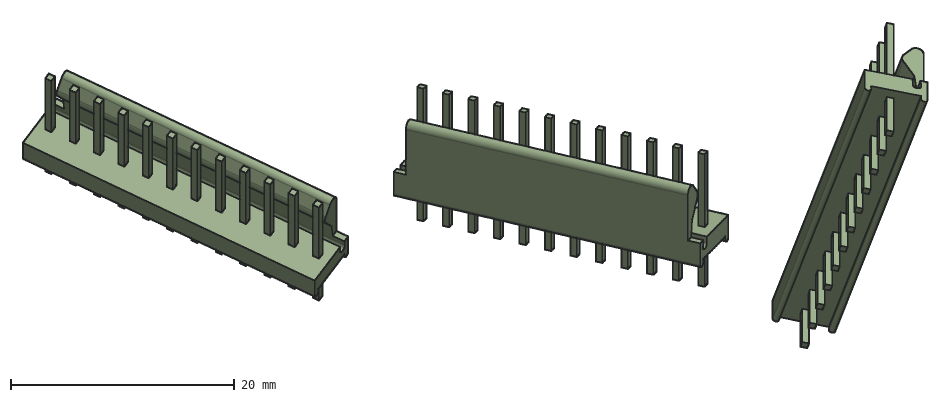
import cadquery as cq
import math


PIN_COUNT = 12
LENGTH = 30.48
PITCH = LENGTH / PIN_COUNT
PIN_SIZE = 0.65
PIN_LENGTH = 13.6
PIN_Y = -3.2

DEPTH = 5.85
BASE_TOP = 6.13
BASE_BOTTOM = 4.2
FOOT_BOTTOM = 3.57
FOOT_WIDTH = 0.6
FOOT_RADIUS = FOOT_WIDTH / 2

SLOT_BACK_Y = -0.58
SLOT_FRONT_Y = -1.4
SLOT_RADIUS = (SLOT_BACK_Y - SLOT_FRONT_Y) / 2
SLOT_BOTTOM = 5.1
SLOT_ARC_Z = SLOT_BOTTOM + SLOT_RADIUS

LATCH_END_GAP = 1.22
LATCH_TOP = 11.43
TIP_RADIUS = 0.65
TIP_Y = -TIP_RADIUS
TIP_Z = LATCH_TOP - TIP_RADIUS
NOSE_FRONT_Y = -2.05
NOSE_RADIUS = 0.67
NOSE_Y = NOSE_FRONT_Y + NOSE_RADIUS
NOSE_Z = 9.8
KNEE_Y = -0.88
KNEE_Z = 7.8


def on_circle(center_y, center_z, radius, angle):
    """Point on a circle; the angle is measured from +Y towards +Z."""
    return (
        center_y + radius * math.cos(angle),
        center_z + radius * math.sin(angle),
    )


def add_foot(outline, front_y):
    """Draw one round-ended foot, from its front side to its back side."""
    foot_arc_z = FOOT_BOTTOM + FOOT_RADIUS
    back_y = front_y + FOOT_WIDTH
    return (
        outline.lineTo(front_y, foot_arc_z)
        .threePointArc((front_y + FOOT_RADIUS, FOOT_BOTTOM), (back_y, foot_arc_z))
    )


def make_housing():
    """Base and latch as one profile, swept along the pin row."""
    tip_distance = math.hypot(TIP_Y - NOSE_Y, TIP_Z - NOSE_Z)
    tip_direction = math.atan2(TIP_Z - NOSE_Z, TIP_Y - NOSE_Y)
    upper_angle = tip_direction + math.acos((NOSE_RADIUS - TIP_RADIUS) / tip_distance)
    knee_distance = math.hypot(KNEE_Y - NOSE_Y, KNEE_Z - NOSE_Z)
    knee_direction = math.atan2(KNEE_Z - NOSE_Z, KNEE_Y - NOSE_Y) + 2 * math.pi
    lower_angle = knee_direction - math.acos(NOSE_RADIUS / knee_distance)

    tip_middle = on_circle(TIP_Y, TIP_Z, TIP_RADIUS, upper_angle / 2)
    tip_end = on_circle(TIP_Y, TIP_Z, TIP_RADIUS, upper_angle)
    nose_start = on_circle(NOSE_Y, NOSE_Z, NOSE_RADIUS, upper_angle)
    nose_end = on_circle(NOSE_Y, NOSE_Z, NOSE_RADIUS, lower_angle)
    slot_middle_y = (SLOT_BACK_Y + SLOT_FRONT_Y) / 2

    outline = cq.Workplane("YZ").moveTo(0, TIP_Z)
    outline = outline.threePointArc(tip_middle, tip_end).lineTo(*nose_start)
    outline = outline.threePointArc((NOSE_FRONT_Y, NOSE_Z), nose_end)
    outline = outline.lineTo(KNEE_Y, KNEE_Z).lineTo(SLOT_BACK_Y, SLOT_ARC_Z)
    outline = outline.threePointArc((slot_middle_y, SLOT_BOTTOM), (SLOT_FRONT_Y, SLOT_ARC_Z))
    outline = outline.lineTo(SLOT_FRONT_Y, BASE_TOP).lineTo(-DEPTH, BASE_TOP)
    outline = add_foot(outline, -DEPTH)
    outline = outline.lineTo(FOOT_WIDTH - DEPTH, BASE_BOTTOM).lineTo(-FOOT_WIDTH, BASE_BOTTOM)
    outline = add_foot(outline, -FOOT_WIDTH)
    return outline.close().extrude(LENGTH)


def trim_latch_ends(housing):
    """Cut the latch back to the base top at both ends of the housing."""
    for start_x in (0, LENGTH - LATCH_END_GAP):
        end_block = cq.Workplane("XY").box(
            LATCH_END_GAP, DEPTH, LATCH_TOP - BASE_TOP, centered=False
        ).translate((start_x, -DEPTH, BASE_TOP))
        housing = housing.cut(end_block)
    return housing


def add_pins(housing):
    """Run a row of square pins through the base."""
    pin = cq.Workplane("XY").rect(PIN_SIZE, PIN_SIZE).extrude(PIN_LENGTH)
    for index in range(PIN_COUNT):
        housing = housing.union(pin.translate(((index + 0.5) * PITCH, PIN_Y, 0)))
    return housing


result = add_pins(trim_latch_ends(make_housing()))